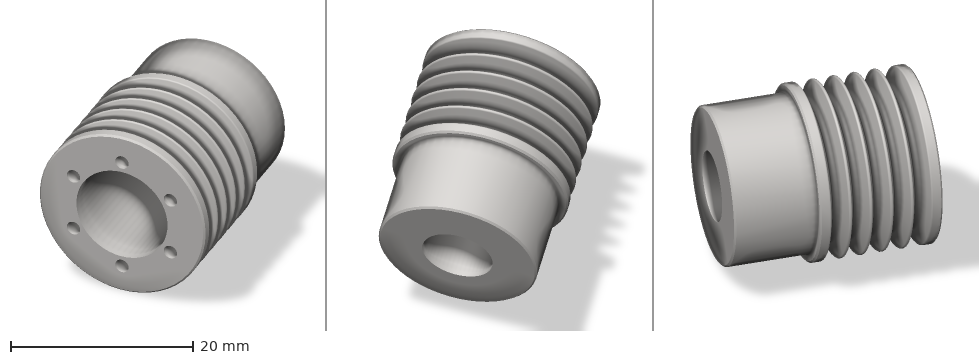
import cadquery as cq
import math

total_length = 23.5
rim_length = 14.0
rim_diameter = 20.0
rim_radius = rim_diameter / 2
hub_radius = 9.0
edge_chamfer = 0.2
corner_fillet = 0.2

groove_count = 5
groove_pitch = 2.35
flank_angle = math.radians(20)
tip_radius = 0.2
root_radius = 0.4

counterbore_radius = 5.5
counterbore_depth = 16.45
bore_radius = 4.0
bore_chamfer = 0.2

hole_count = 6
hole_circle_radius = 6.75
hole_radius = 0.8
hole_depth = 4.7
drill_point_angle = math.radians(118)

flank_top_offset = groove_pitch / 2 - tip_radius * math.cos(flank_angle)
flank_top_radius = rim_radius - tip_radius * (1 - math.sin(flank_angle))
flank_root_offset = root_radius * math.cos(flank_angle)
flank_height = (flank_top_offset - flank_root_offset) / math.tan(flank_angle)
flank_root_radius = flank_top_radius - flank_height
groove_floor_radius = flank_root_radius - root_radius * (1 - math.sin(flank_angle))


def edge_round_middle(crest_y, direction):
    """Midpoint of the round from a crest on the rim down to a flank, towards +Y or -Y."""
    middle_angle = (math.pi / 2 + flank_angle) / 2
    return (
        rim_radius - tip_radius * (1 - math.sin(middle_angle)),
        crest_y + direction * tip_radius * math.cos(middle_angle),
    )


def add_groove(outline, center_y):
    """Continue the outline down one flank, round the root and up the other flank."""
    return (
        outline.lineTo(flank_root_radius, center_y - flank_root_offset)
        .threePointArc(
            (groove_floor_radius, center_y),
            (flank_root_radius, center_y + flank_root_offset),
        )
        .lineTo(flank_top_radius, center_y + flank_top_offset)
    )


def make_body():
    """Revolve the solid pulley: chamfered grooved rim with a plain hub behind it."""
    grooves_start_y = (rim_length - groove_count * groove_pitch) / 2
    grooves_end_y = rim_length - grooves_start_y
    first_groove_y = grooves_start_y + groove_pitch / 2
    outline = (
        cq.Workplane("XY")
        .lineTo(rim_radius - edge_chamfer, 0)
        .lineTo(rim_radius, edge_chamfer)
        .lineTo(rim_radius, grooves_start_y)
        .threePointArc(
            edge_round_middle(grooves_start_y, 1),
            (flank_top_radius, first_groove_y - flank_top_offset),
        )
    )
    outline = add_groove(outline, first_groove_y)
    for index in range(1, groove_count):
        groove_y = first_groove_y + index * groove_pitch
        outline = outline.threePointArc(
            (rim_radius, groove_y - groove_pitch / 2),
            (flank_top_radius, groove_y - flank_top_offset),
        )
        outline = add_groove(outline, groove_y)
    outline = (
        outline.threePointArc(
            edge_round_middle(grooves_end_y, -1),
            (rim_radius, grooves_end_y),
        )
        .lineTo(rim_radius, rim_length - edge_chamfer)
        .lineTo(rim_radius - edge_chamfer, rim_length)
        .lineTo(hub_radius + corner_fillet, rim_length)
        .radiusArc((hub_radius, rim_length + corner_fillet), corner_fillet)
        .lineTo(hub_radius, total_length - edge_chamfer)
        .lineTo(hub_radius - edge_chamfer, total_length)
        .lineTo(0, total_length)
        .close()
    )
    return outline.revolve(360, (0, 0), (0, 1))


def make_bore():
    """Wide front counterbore, then a chamfered narrower bore out through the hub."""
    return (
        cq.Workplane("XY")
        .lineTo(counterbore_radius, 0)
        .lineTo(counterbore_radius, counterbore_depth)
        .lineTo(bore_radius + bore_chamfer, counterbore_depth)
        .lineTo(bore_radius, counterbore_depth + bore_chamfer)
        .lineTo(bore_radius, total_length)
        .lineTo(0, total_length)
        .close()
        .revolve(360, (0, 0), (0, 1))
    )


def make_screw_hole():
    """Blind drilled hole with a conical end, on the Y axis."""
    cone_depth = hole_radius / math.tan(drill_point_angle / 2)
    return (
        cq.Workplane("XY")
        .lineTo(hole_radius, 0)
        .lineTo(hole_radius, hole_depth)
        .lineTo(0, hole_depth + cone_depth)
        .close()
        .revolve(360, (0, 0), (0, 1))
    )


result = make_body().cut(make_bore())
for index in range(hole_count):
    hole = make_screw_hole().translate((0, 0, hole_circle_radius))
    result = result.cut(hole.rotate((0, 0, 0), (0, 1, 0), index * 360 / hole_count))